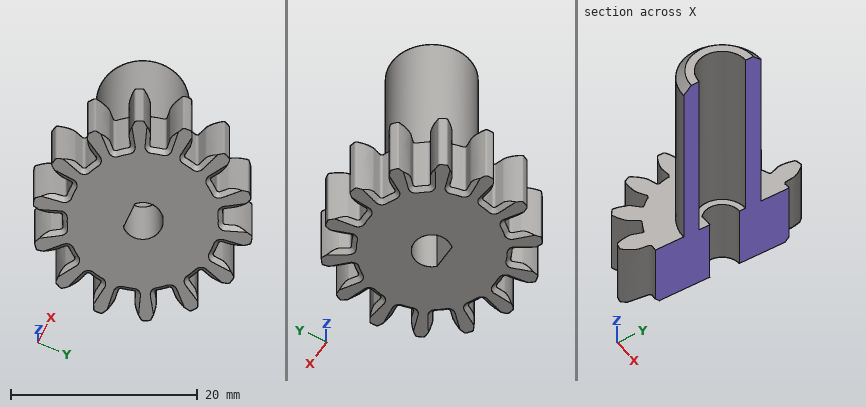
import cadquery as cq
import math

total_height = 30.1
gear_height = 7.92

tooth_count = 14
module = 1.5
pressure_angle = math.radians(20)
pitch_radius = module * tooth_count / 2
base_radius = pitch_radius * math.cos(pressure_angle)
root_radius = 8.6
tip_radius = 23.8 / 2
base_half_angle = math.radians(6.7)
corner_radius = 0.3
bottom_chamfer = 0.5
involute_steps = 6
pitch_angle = 2 * math.pi / tooth_count

shaft_diameter = 10.0
shaft_chamfer = 1.0

shaft_bore_diameter = 5.95
gear_bore_diameter = 4.4
flat_distance = 1.6


def polar(radius, angle):
    return (radius * math.cos(angle), radius * math.sin(angle))


def upper_flank():
    """Involute points of a tooth centred on +X, from the base circle to the tip circle."""
    tip_roll = math.sqrt((tip_radius / base_radius) ** 2 - 1)
    points = []
    for step in range(involute_steps + 1):
        roll = tip_roll * step / involute_steps
        radius = base_radius * math.sqrt(1 + roll**2)
        points.append(polar(radius, base_half_angle - (roll - math.atan(roll))))
    return points


def make_tooth():
    """Involute tooth with radial flanks below the base circle, reaching inside the root circle."""
    upper = upper_flank()
    lower = [(x, -y) for x, y in upper]
    inner_radius = root_radius - module
    tooth = (
        cq.Workplane("XY")
        .moveTo(*polar(inner_radius, -base_half_angle))
        .lineTo(*lower[0])
        .spline(lower[1:], includeCurrent=True)
        .threePointArc((tip_radius, 0), upper[-1])
        .spline(upper[-2::-1], includeCurrent=True)
        .lineTo(*polar(inner_radius, base_half_angle))
        .close()
        .extrude(gear_height)
    )
    tip_side = cq.selectors.BoxSelector(
        (upper[-1][0] - corner_radius, -tip_radius, 0),
        (tip_radius, tip_radius, gear_height),
    )
    return tooth.edges("|Z").edges(tip_side).fillet(corner_radius)


def around_gear(shape, start_angle=0.0):
    """List of copies of a solid turned about Z, one for each tooth."""
    angles = [math.degrees(start_angle + i * pitch_angle) for i in range(tooth_count)]
    return [shape.val().rotate(cq.Vector(0, 0, 0), cq.Vector(0, 0, 1), angle) for angle in angles]


def round_roots(gear):
    """Fillet the inner corners where the flanks meet the root circle."""
    reach = root_radius + corner_radius

    def is_root_corner(edge):
        return math.hypot(edge.Center().x, edge.Center().y) < reach

    return gear.edges("|Z").filter(is_root_corner).fillet(corner_radius)


def make_space_chamfer():
    """Cutter for one tooth space on +X: the radial-sided slot, widening at 45 degrees to the bottom."""
    half_angle = pitch_angle / 2 - base_half_angle
    outer_radius = tip_radius + 2 * bottom_chamfer
    floor_right = polar(root_radius, -half_angle)
    floor_left = polar(root_radius, half_angle)
    outer_right = polar(outer_radius, -half_angle)
    outer_left = polar(outer_radius, half_angle)
    slot = (
        cq.Sketch()
        .segment(floor_right, outer_right)
        .segment(outer_left)
        .segment(floor_left)
        .arc((root_radius, 0), floor_right)
        .assemble()
        .vertices("<X")
        .fillet(corner_radius)
    )
    return (
        cq.Workplane("XY")
        .workplane(offset=bottom_chamfer)
        .placeSketch(slot)
        .extrude(-bottom_chamfer, taper=-45)
    )


def make_gear():
    blank = cq.Workplane("XY").circle(root_radius).extrude(gear_height)
    teeth = around_gear(make_tooth())
    toothed = cq.Workplane(blank.val().fuse(*teeth))
    space_cutters = around_gear(make_space_chamfer(), start_angle=pitch_angle / 2)
    return cq.Workplane(round_roots(toothed).val().cut(*space_cutters))


def make_shaft():
    shaft = cq.Workplane("XY").circle(shaft_diameter / 2).extrude(total_height)
    return shaft.faces(">Z").chamfer(shaft_chamfer)


def make_bores():
    """D-shaped bore through the gear, opening into a round bore up the shaft."""
    gear_bore = cq.Workplane("XY").circle(gear_bore_diameter / 2).extrude(gear_height)
    keep_size = 2 * gear_bore_diameter
    above_flat = (
        cq.Workplane("XY")
        .center(0, keep_size / 2 - flat_distance)
        .rect(keep_size, keep_size)
        .extrude(gear_height)
    )
    shaft_bore = (
        cq.Workplane("XY")
        .workplane(offset=gear_height)
        .circle(shaft_bore_diameter / 2)
        .extrude(total_height - gear_height)
    )
    return gear_bore.intersect(above_flat).union(shaft_bore)


result = make_gear().union(make_shaft()).cut(make_bores()).solids()